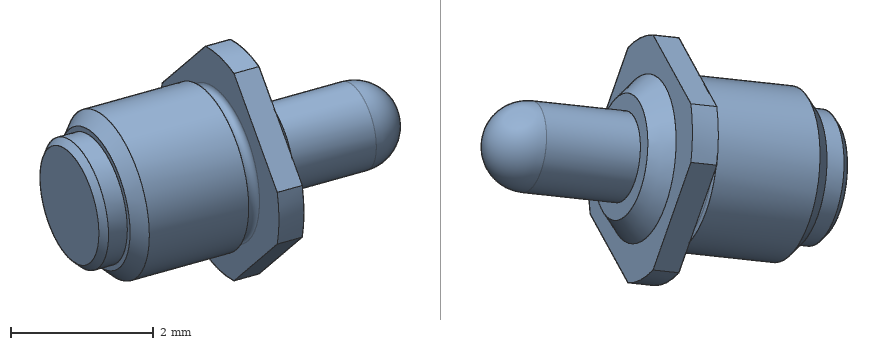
import cadquery as cq
import math

total_length = 5.2

stub_radius = 0.97
stub_length = 0.4
stub_chamfer = 0.1

body_radius = 1.25
body_chamfer = 0.2

groove_start = 2.2
groove_width = 0.2
groove_bottom_radius = 1.075
groove_arc_radius = groove_width / 2
groove_edge_radius = groove_bottom_radius + groove_arc_radius
groove_middle = groove_start + groove_arc_radius
groove_end = groove_start + groove_width

shoulder_angle = math.radians(10)
shoulder_drop = (body_radius - groove_edge_radius) * math.tan(shoulder_angle)
body_end = groove_start - shoulder_drop

flange_radius = 1.75
flange_across_flats = 3.0
flange_thickness = 0.4
flange_end = groove_end + flange_thickness

cone_length = 0.3
cone_top_radius = 0.9
cone_base_radius = cone_top_radius + cone_length
cone_end = flange_end + cone_length

pin_radius = 0.65
tip_start = total_length - pin_radius
tip_diagonal = pin_radius * math.sqrt(0.5)


def make_turned_body():
    """Revolve the half profile (radius, Y) of everything except the flange."""
    profile = (
        cq.Workplane("XY")
        .moveTo(0, 0)
        .lineTo(stub_radius - stub_chamfer, 0)
        .lineTo(stub_radius, stub_chamfer)
        .lineTo(stub_radius, stub_length)
        .lineTo(body_radius - body_chamfer, stub_length)
        .lineTo(body_radius, stub_length + body_chamfer)
        .lineTo(body_radius, body_end)
        .lineTo(groove_edge_radius, groove_start)
        .threePointArc((groove_bottom_radius, groove_middle), (groove_edge_radius, groove_end))
        .lineTo(cone_base_radius, groove_end)
        .lineTo(cone_base_radius, flange_end)
        .lineTo(cone_top_radius, cone_end)
        .lineTo(pin_radius, cone_end)
        .lineTo(pin_radius, tip_start)
        .threePointArc((tip_diagonal, tip_start + tip_diagonal), (0, total_length))
        .close()
    )
    return profile.revolve(360, (0, 0, 0), (0, 1, 0))


def make_flange():
    """Intersect a disc with a square turned 45 degrees about the pin axis."""
    base_plane = cq.Workplane("XZ", origin=(0, groove_end, 0))
    disc = base_plane.circle(flange_radius).extrude(-flange_thickness)
    square = base_plane.rect(flange_across_flats, flange_across_flats).extrude(-flange_thickness)
    square = square.rotate((0, 0, 0), (0, 1, 0), 45)
    return disc.intersect(square)


result = make_turned_body().union(make_flange())